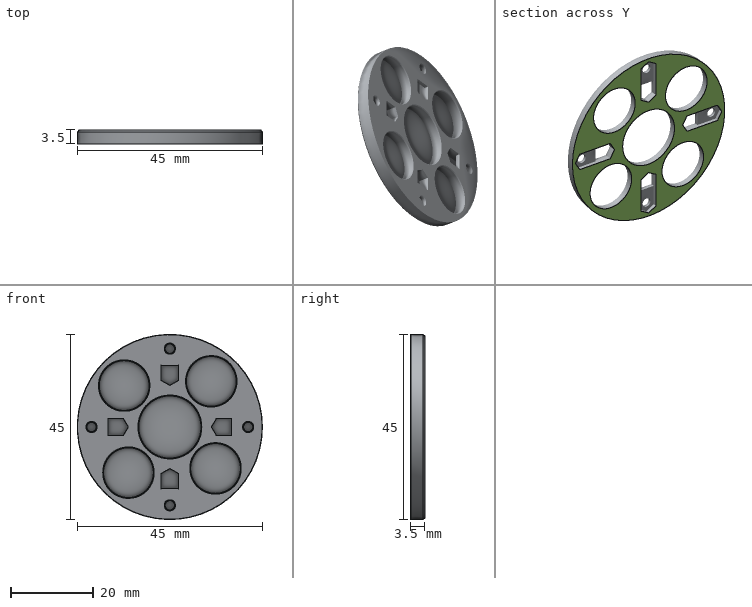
import cadquery as cq
import math

disc_diameter = 45.0
disc_thickness = 3.5
back_chamfer = 0.5
rim_chamfer = 0.2

center_pocket_diameter = 15.1
outer_pocket_diameter = 12.1
round_pocket_depth = 2.6
outer_pocket_radius = 15.0
outer_pocket_angle = 47.8

screw_diameter = 2.3
screw_radius = 19.05
nut_width = 4.25
nut_entry_radius = 12.55
entry_outer_radius = 15.0
nut_channel_floor = 2.6
nut_lip_thickness = 1.0

pattern_count = 4
pattern_step = 360.0 / pattern_count
front_y = -disc_thickness / 2
nut_corner_radius = nut_width / math.sqrt(3)


def front_plane(depth=0.0):
    """Sketch plane at a depth below the front face, with the normal pointing out of it."""
    return cq.Workplane("XZ", origin=(0, front_y + depth, 0))


def around_axis(shape):
    """Four copies of a shape spread evenly about the disc axis."""
    copies = cq.Workplane()
    for index in range(pattern_count):
        copies = copies.add(shape.rotate((0, 0, 0), (0, 1, 0), index * pattern_step))
    return copies.combine()


def round_pocket(x, z, diameter, depth):
    """Cutter for a round blind pocket with a chamfered rim."""
    bore = front_plane().center(x, z).circle(diameter / 2).extrude(-depth)
    rim = (
        front_plane(rim_chamfer)
        .center(x, z)
        .circle(diameter / 2)
        .extrude(rim_chamfer, taper=-45)
    )
    return bore.union(rim)


def nut_slot(outer_points, start_depth):
    """Cutter as wide as the nut, pointed toward the center, down to the channel floor."""
    half_width = nut_width / 2
    shoulder_radius = nut_entry_radius - nut_corner_radius / 2
    points = [
        (nut_entry_radius - nut_corner_radius, 0),
        (shoulder_radius, half_width),
        *outer_points,
        (shoulder_radius, -half_width),
    ]
    return front_plane(start_depth).polyline(points).close().extrude(start_depth - nut_channel_floor)


def nut_trap():
    """Open entry pocket joined to a covered channel with a hexagonal end under the screw."""
    half_width = nut_width / 2
    entry_end = [(entry_outer_radius, half_width), (entry_outer_radius, -half_width)]
    hexagon_end = [
        (screw_radius + nut_corner_radius / 2, half_width),
        (screw_radius + nut_corner_radius, 0),
        (screw_radius + nut_corner_radius / 2, -half_width),
    ]
    return nut_slot(entry_end, 0).union(nut_slot(hexagon_end, nut_lip_thickness))


disc = front_plane().circle(disc_diameter / 2).extrude(-disc_thickness)
disc = disc.faces(">Y").chamfer(back_chamfer)

outer_angle = math.radians(outer_pocket_angle)
outer_pocket = round_pocket(
    outer_pocket_radius * math.cos(outer_angle),
    outer_pocket_radius * math.sin(outer_angle),
    outer_pocket_diameter,
    round_pocket_depth,
)
screw_hole = round_pocket(screw_radius, 0, screw_diameter, nut_channel_floor)

result = disc.cut(round_pocket(0, 0, center_pocket_diameter, round_pocket_depth))
result = result.cut(around_axis(outer_pocket))
result = result.cut(around_axis(nut_trap()))
result = result.cut(around_axis(screw_hole))